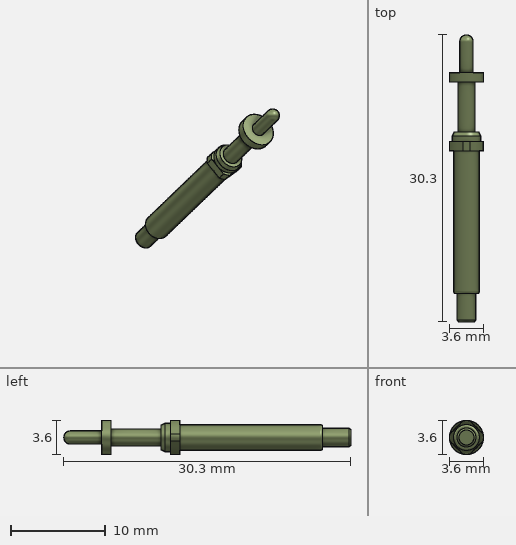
import cadquery as cq

length = 30.3

tail_diameter = 2.0
tail_length = 3.0
tail_chamfer = 0.2

body_diameter = 2.73
body_length = 15.05
body_fillet = 0.25

flange_diameter = 3.6
flange_thickness = 1.0
flange_across_flats = 3.0

collar_diameter = 3.03
collar_length = 1.0
nose_length = 0.45
nose_setback = 0.2

stem_diameter = 1.82

disc_diameter = flange_diameter
disc_thickness = 1.0

tip_diameter = 1.42
tip_length = 4.0

flange_start = tail_length + body_length
collar_start = flange_start + flange_thickness
collar_end = collar_start + collar_length
tip_start = length - tip_length
disc_start = tip_start - disc_thickness


def cylinder(diameter, start, end):
    """Plain round section on the pin axis, from Y = start to Y = end."""
    return cq.Workplane("XZ", origin=(0, start, 0)).circle(diameter / 2).extrude(start - end)


def tail():
    """Rear tail with a chamfered end."""
    return cylinder(tail_diameter, 0, tail_length).faces("<Y").chamfer(tail_chamfer)


def body():
    """Main barrel with a rounded rear edge."""
    return cylinder(body_diameter, tail_length, flange_start).faces("<Y").edges().fillet(body_fillet)


def squared_flange():
    """Round flange cut by four flats, with its corners pointing along X and Z."""
    square = (
        cq.Workplane("XZ", origin=(0, flange_start, 0))
        .transformed(rotate=(0, 0, 45))
        .rect(flange_across_flats, flange_across_flats)
        .extrude(-flange_thickness)
    )
    return cylinder(flange_diameter, flange_start, collar_start).intersect(square)


def collar():
    """Collar in front of the flange, narrowing to a conical nose at its front end."""
    return cylinder(collar_diameter, collar_start, collar_end).faces(">Y").chamfer(nose_length, nose_setback)


def tip():
    """Contact tip ending in a hemispherical dome."""
    radius = tip_diameter / 2
    dome_center = length - radius
    dome = cq.Workplane("XY", origin=(0, dome_center, 0)).sphere(radius)
    return cylinder(tip_diameter, tip_start, dome_center).union(dome)


stem = cylinder(stem_diameter, collar_end, disc_start)
disc = cylinder(disc_diameter, disc_start, tip_start)

result = tail()
for section in (body(), squared_flange(), collar(), stem, disc, tip()):
    result = result.union(section)